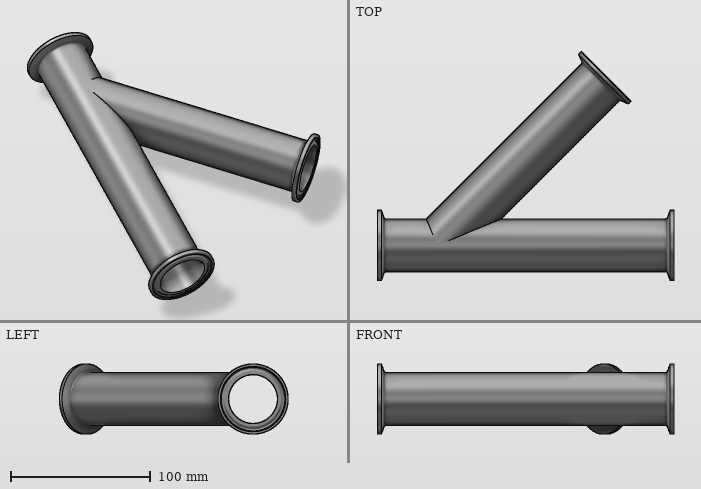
import cadquery as cq
import math

run_length = 212.7
left_arm_length = 43.0
right_arm_length = run_length - left_arm_length

branch_angle = 45.0
branch_length = 171.2

tube_diameter = 38.0
bore_diameter = 34.9

flange_diameter = 50.5
rim_thickness = 3.0
taper_angle = 20.0
neck_fillet = 1.3
rim_rounding = 0.2

groove_diameter = 43.5
groove_width = 2.1
groove_depth = 1.5
groove_lip_fillet = 0.6

tube_radius = tube_diameter / 2
bore_radius = bore_diameter / 2
flange_radius = flange_diameter / 2
groove_radius = groove_diameter / 2


def arm_plane(angle):
    """Plane at the junction whose X axis runs out along an arm; its Y axis is the arm's radius."""
    turn = math.radians(angle)
    return cq.Plane(origin=(0, 0, 0), xDir=(math.cos(turn), math.sin(turn), 0), normal=(0, 0, 1))


def arm_body(angle, length):
    """Solid tube from the junction, ending in a clamp flange with a tapered back."""
    taper_length = (flange_radius - tube_radius) * math.tan(math.radians(taper_angle))
    rim_back = length - rim_thickness
    taper_end = rim_back - taper_length

    tangent_length = neck_fillet * math.tan(math.radians(45 - taper_angle / 2))
    fillet_start = taper_end - tangent_length
    fillet_end_x = taper_end + tangent_length * math.sin(math.radians(taper_angle))
    fillet_end_radius = tube_radius + tangent_length * math.cos(math.radians(taper_angle))

    return (
        cq.Workplane(arm_plane(angle))
        .moveTo(0, 0)
        .lineTo(0, tube_radius)
        .lineTo(fillet_start, tube_radius)
        .tangentArcPoint((fillet_end_x, fillet_end_radius), relative=False)
        .lineTo(rim_back, flange_radius)
        .lineTo(length - rim_rounding, flange_radius)
        .tangentArcPoint((length, flange_radius - rim_rounding), relative=False)
        .lineTo(length, 0)
        .close()
        .revolve(360, (0, 0), (1, 0))
    )


def arm_bore(angle, length):
    """Bore from the junction to the flange face."""
    return (
        cq.Workplane(arm_plane(angle))
        .rect(length, bore_radius, centered=False)
        .revolve(360, (0, 0), (1, 0))
    )


def gasket_groove(angle, length):
    """Ring cut into the flange face: an arc floor blended into the face by a rounded lip on each side."""
    half_width = groove_width / 2
    floor_radius = (half_width**2 + groove_depth**2) / (2 * groove_depth)
    floor_centre_x = length - groove_depth + floor_radius

    lip_centre_x = length - groove_lip_fillet
    centre_distance = floor_radius + groove_lip_fillet
    lip_offset = math.sqrt(centre_distance**2 - (floor_centre_x - lip_centre_x) ** 2)
    floor_share = floor_radius / centre_distance
    touch_x = floor_centre_x + (lip_centre_x - floor_centre_x) * floor_share
    touch_offset = lip_offset * floor_share

    return (
        cq.Workplane(arm_plane(angle))
        .moveTo(length, groove_radius + lip_offset)
        .radiusArc((touch_x, groove_radius + touch_offset), -groove_lip_fillet)
        .threePointArc(
            (length - groove_depth, groove_radius),
            (touch_x, groove_radius - touch_offset),
        )
        .tangentArcPoint((length, groove_radius - lip_offset), relative=False)
        .close()
        .revolve(360, (0, 0), (1, 0))
    )


arms = [
    (0.0, right_arm_length),
    (180.0, left_arm_length),
    (branch_angle, branch_length),
]

result = cq.Workplane("XY")
for angle, length in arms:
    result = result.union(arm_body(angle, length))
for angle, length in arms:
    result = result.cut(arm_bore(angle, length))
    result = result.cut(gasket_groove(angle, length))